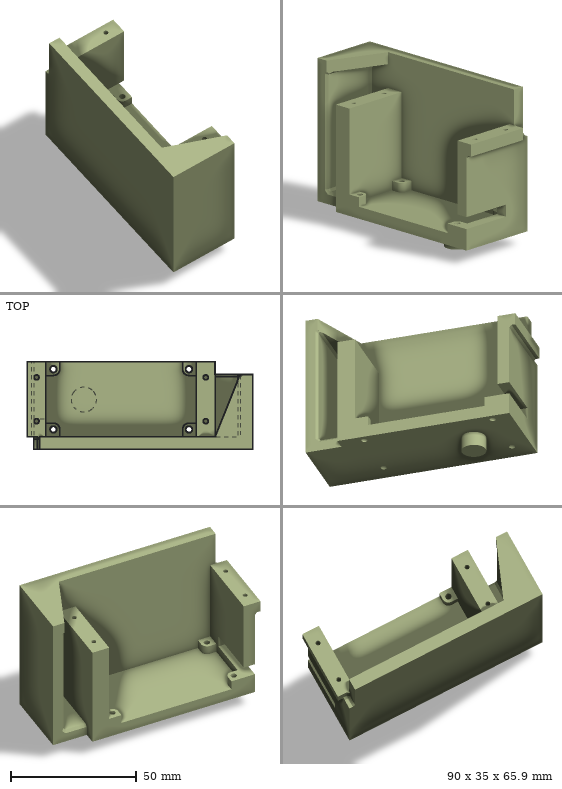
import cadquery as cq

length = 90
depth = 35.0
body_height = 60.0
spigot_length = 5.9

wall = 5.0
lip_overhang = 2.5
ledge_width = 7.5
ledge_top = 45
bevel = 1.0
left_face = lip_overhang
end_depth = 30.0

tray_length = 60.0
tray_floor = 5.0
tray_left = ledge_width
tray_right = tray_left + tray_length
right_ledge_end = tray_right + ledge_width

pad_top = 9
pad_size = 5.5
pad_corner_radius = 2.5
pad_hole_inset = 3.0
pad_hole_diameter = 2.5

screw_diameter = 2.0
screw_spacing = 17.5
screw_depth = wall

slot_front = 12.3
slot_bottom = pad_top
slot_height = 5.0

recess_floor = tray_floor
recess_right = length - wall
recess_top = body_height - wall

spigot_x = 22.5
spigot_diameter = 10.0

tray_middle_y = (wall + depth) / 2
ledge_bottom = ledge_top - wall


def box(x0, x1, y0, y1, z0, z1):
    """Box between two opposite corners."""
    return cq.Workplane("XY").box(x1 - x0, y1 - y0, z1 - z0, centered=False).translate((x0, y0, z0))


def profile_along_y(points, y0, y1):
    """Prism with an outline in X and Z, running from y0 to y1."""
    return cq.Workplane("XZ", origin=(0, y0, 0)).polyline(points).close().extrude(y0 - y1)


def make_body():
    """Tray block, taller front plate and right end, and the overhanging left ledge."""
    tray = box(left_face, right_ledge_end, 0, depth, 0, ledge_top)
    plate = box(left_face, length, 0, wall, 0, body_height)
    end = box(right_ledge_end, length, 0, end_depth, 0, body_height)
    ledge = profile_along_y(
        [
            (0, ledge_top),
            (ledge_width, ledge_top),
            (ledge_width, ledge_bottom - bevel),
            (left_face, ledge_bottom - bevel),
            (left_face - bevel, ledge_bottom),
            (0, ledge_bottom),
        ],
        wall,
        depth,
    )
    return tray.union(plate).union(end).union(ledge)


def make_plate_notch():
    """Notch in the left end of the front plate, bevelled where its faces meet."""
    lower = box(0, wall, 0, wall, ledge_bottom, body_height)
    inner_edges = "(|Z and >X and >Y) or (|X and <Z and >Y) or (|Y and <Z and >X)"
    lower = lower.edges(inner_edges).chamfer(bevel)
    upper = box(0, wall, 0, wall, ledge_top, body_height)
    return lower.union(upper)


def make_tray():
    """Hollow of the tray, open at the top and the back, leaving four corner pads."""
    tray = box(tray_left, tray_right, wall, depth, tray_floor, ledge_top)
    for x0, x1, x_side in (
        (tray_left, tray_left + pad_size, ">X"),
        (tray_right - pad_size, tray_right, "<X"),
    ):
        for y0, y1, y_side in (
            (wall, wall + pad_size, ">Y"),
            (depth - pad_size, depth, "<Y"),
        ):
            pad = box(x0, x1, y0, y1, tray_floor, pad_top)
            pad = pad.edges(f"|Z and {x_side} and {y_side}").fillet(pad_corner_radius)
            tray = tray.cut(pad)
    return tray


def make_pad_holes():
    """Holes down through the corner pads and the tray floor."""
    return (
        cq.Workplane("XY")
        .center((tray_left + tray_right) / 2, tray_middle_y)
        .rect(tray_length - 2 * pad_hole_inset, depth - wall - 2 * pad_hole_inset, forConstruction=True)
        .vertices()
        .circle(pad_hole_diameter / 2)
        .extrude(pad_top)
    )


def make_screw_holes():
    """Blind holes in the tops of both ledges."""
    return (
        cq.Workplane("XY", origin=(right_ledge_end / 2, tray_middle_y, ledge_top))
        .rect(tray_length + ledge_width, screw_spacing, forConstruction=True)
        .vertices()
        .circle(screw_diameter / 2)
        .extrude(-screw_depth)
    )


def make_end_recess():
    """Recess in the right end: bevelled inside, flared at the open back, with a slanted opening on top."""
    room = box(right_ledge_end, recess_right, wall, end_depth, recess_floor, recess_top)
    room = room.faces(">X").edges("not(>Y)").chamfer(bevel)
    flare = (
        box(right_ledge_end, recess_right, wall, end_depth - bevel, recess_floor, recess_top)
        .edges("|Y and >X")
        .chamfer(bevel)
        .faces(">Y")
        .wires()
        .toPending()
        .workplane()
        .extrude(bevel, combine=False, taper=-45)
        .intersect(box(right_ledge_end, length, wall, end_depth, 0, recess_top))
    )
    opening = (
        cq.Workplane("XY", origin=(0, 0, recess_top - bevel))
        .polyline([(right_ledge_end, wall), (recess_right, end_depth), (right_ledge_end, end_depth)])
        .close()
        .extrude(wall + bevel)
    )
    return room.union(flare).union(opening)


slot = box(0, tray_left, slot_front, depth, slot_bottom, slot_bottom + slot_height)
spigot = (
    cq.Workplane("XY", origin=(spigot_x, tray_middle_y, 0))
    .circle(spigot_diameter / 2)
    .extrude(-spigot_length)
)

result = (
    make_body()
    .cut(make_plate_notch())
    .cut(make_tray())
    .cut(make_pad_holes())
    .cut(make_screw_holes())
    .cut(make_end_recess())
    .cut(slot)
    .union(spigot)
)